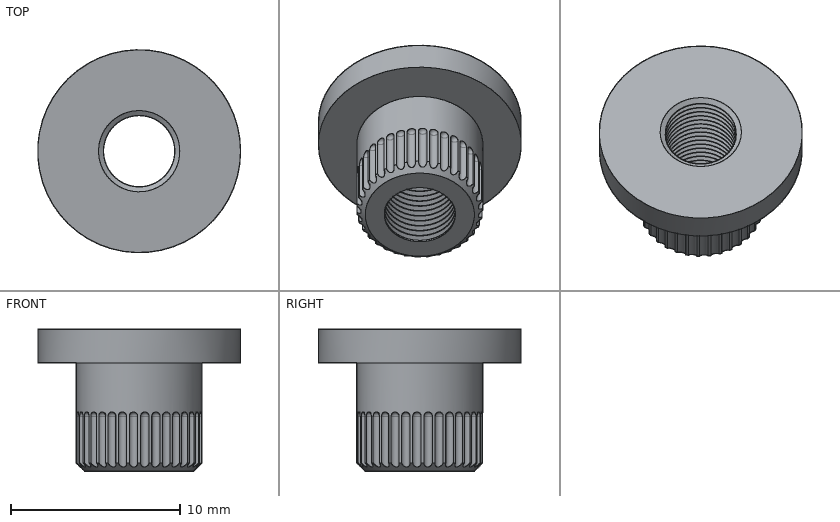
import cadquery as cq
import math

flange_diameter = 12.0
flange_thickness = 2.0
sleeve_diameter = 7.45
sleeve_length = 6.4
end_chamfer = 0.5
total_height = sleeve_length + flange_thickness

bore_diameter = 4.2
countersink_diameter = 4.8
countersink_angle = 120.0
countersink_width = (countersink_diameter - bore_diameter) / 2
countersink_depth = countersink_width / math.tan(math.radians(countersink_angle / 2))
thread_pitch = 0.45
crest_width = 0.05
thread_flank_angle = 60.0
groove_width = thread_pitch - crest_width
groove_depth = groove_width / 2 / math.tan(math.radians(thread_flank_angle / 2))
thread_top = total_height - countersink_depth - crest_width
groove_count = math.floor(thread_top / thread_pitch)

flute_count = 35
flute_radius = 0.25
flute_top = 3.5
first_flute_angle = 90.0


def make_body():
    """Flange on top of a sleeve with a chamfered lower end."""
    flange_plane = cq.Workplane("XY").workplane(offset=sleeve_length)
    flange = flange_plane.circle(flange_diameter / 2).extrude(flange_thickness)
    sleeve = cq.Workplane("XY").circle(sleeve_diameter / 2).extrude(sleeve_length)
    return flange.union(sleeve.faces("<Z").chamfer(end_chamfer))


def make_bore():
    """Half profile of the countersunk, ring-grooved bore, revolved about Z."""
    bore_radius = bore_diameter / 2
    profile = cq.Workplane("XZ").lineTo(bore_radius, 0)
    for index in reversed(range(groove_count)):
        groove_top = thread_top - index * thread_pitch
        profile = profile.lineTo(bore_radius, groove_top - groove_width)
        profile = profile.lineTo(bore_radius + groove_depth, groove_top - groove_width / 2)
        profile = profile.lineTo(bore_radius, groove_top)
    profile = profile.lineTo(bore_radius, total_height - countersink_depth)
    profile = profile.lineTo(countersink_diameter / 2, total_height)
    profile = profile.lineTo(0, total_height).close()
    return profile.revolve(360, (0, 0, 0), (0, 1, 0))


def make_flute():
    """Vertical cutter with a ball-shaped upper end, on the sleeve surface."""
    shank_length = flute_top - flute_radius
    shank = cq.Workplane("XY").circle(flute_radius).extrude(shank_length)
    ball = cq.Workplane("XY").sphere(flute_radius).translate((0, 0, shank_length))
    return shank.union(ball, clean=False).translate((sleeve_diameter / 2, 0, 0))


def cut_flutes(body):
    """Cut the flutes at equal angles around the sleeve."""
    flute = make_flute()
    cutters = cq.Workplane("XY")
    for index in range(flute_count):
        angle = first_flute_angle + index * 360 / flute_count
        cutters = cutters.add(flute.rotate((0, 0, 0), (0, 0, 1), angle))
    return body.cut(cq.Workplane(cq.Compound.makeCompound(cutters.vals())))


result = cut_flutes(make_body()).cut(make_bore())